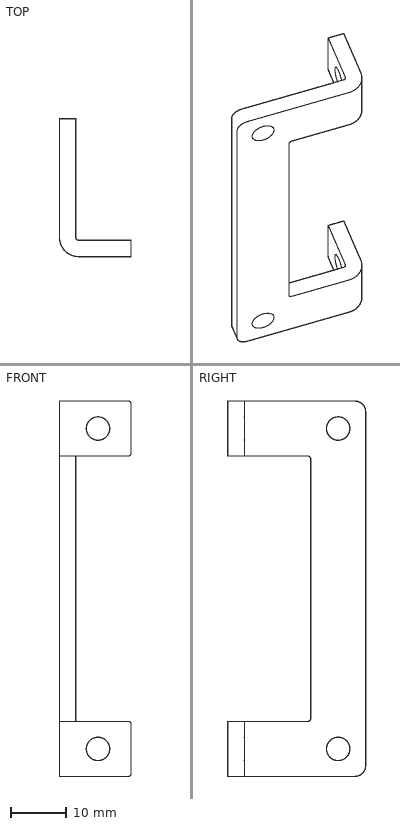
import cadquery as cq

flange_length = 13.0
plate_depth = 25.0
height = 68.0
thickness = 3.0

arm_height = 10.0
web_depth = 10.0
web_corner_radius = 2.0
notch_corner_radius = 0.5

inner_bend_radius = 0.5
outer_bend_radius = inner_bend_radius + thickness
flange_corner_radius = 0.5

hole_diameter = 4.2
flange_hole_x = 7.0
plate_hole_y = plate_depth - web_depth / 2
hole_levels = [arm_height / 2, height - arm_height / 2]


def bent_blank():
    """Full-height L-shaped angle with a rounded bend along Z."""
    angle = (
        cq.Workplane("XY")
        .moveTo(0, 0)
        .lineTo(flange_length, 0)
        .lineTo(flange_length, thickness)
        .lineTo(thickness, thickness)
        .lineTo(thickness, plate_depth)
        .lineTo(0, plate_depth)
        .close()
        .extrude(height)
    )
    outer_bend = cq.selectors.NearestToPointSelector((0, 0, height / 2))
    inner_bend = cq.selectors.NearestToPointSelector((thickness, thickness, height / 2))
    angle = angle.edges(outer_bend).fillet(outer_bend_radius)
    return angle.edges(inner_bend).fillet(inner_bend_radius)


def notch():
    """Opening between the two arms, with rounded corners next to the web."""
    notch_depth = plate_depth - web_depth
    notch_height = height - 2 * arm_height
    return (
        cq.Workplane("XY")
        .box(flange_length, notch_depth, notch_height, centered=False)
        .translate((0, 0, arm_height))
        .edges("|X and >Y")
        .fillet(notch_corner_radius)
    )


def round_corners(body):
    """Round the web's outer corners and all four corners of both flange ends."""
    body = body.faces(">Y").edges("|X").fillet(web_corner_radius)
    return body.faces(">X").edges("|Y").fillet(flange_corner_radius)


def hole_tool(plane_name, x, y, level):
    """Cylinder for one hole, running through the sheet from its outer face."""
    entry_face = cq.Workplane(plane_name, origin=(x, y, level))
    return entry_face.circle(hole_diameter / 2).extrude(thickness)


result = round_corners(bent_blank().cut(notch()))
for hole_level in hole_levels:
    result = result.cut(hole_tool("ZX", flange_hole_x, 0, hole_level))
    result = result.cut(hole_tool("YZ", 0, plate_hole_y, hole_level))